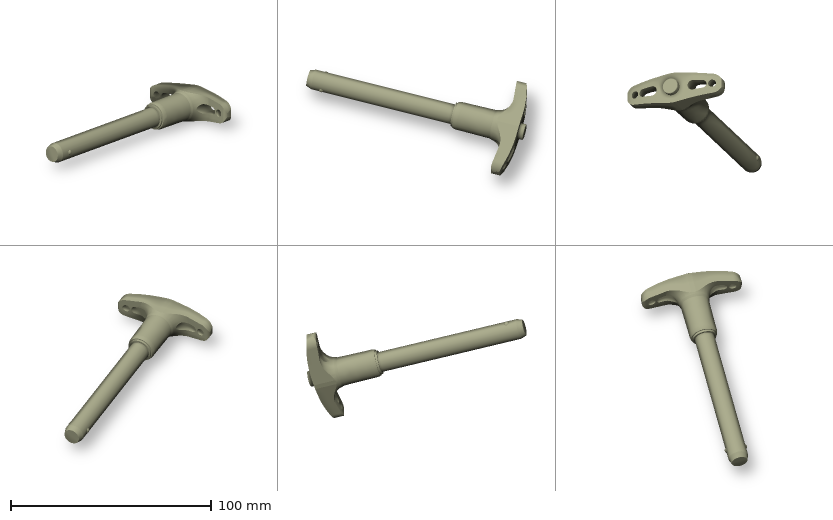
import cadquery as cq
import math

overall_length = 112.1

pin_radius = 5.0
tip_radius = 4.0
tip_length = 2.8
ball_radius = 1.5
ball_offset = 4.3
ball_y = 8.0

button_radius = 4.0
button_height = 2.7
button_edge = 0.2

handle_top_y = overall_length - button_height
flare_start_y = handle_top_y - 12.3
grip_top_y = handle_top_y - 13.6
grip_bottom_y = handle_top_y - 30.8
sleeve_end_y = handle_top_y - 33.2
collar_end_y = handle_top_y - 34.2
neck_radius = 7.7
grip_top_radius = 7.3
grip_bottom_radius = 7.1
sleeve_end_radius = 6.6
sleeve_bulge = 0.17
collar_radius = 6.0

span = 51.6
half_span = span / 2
half_depth = 8.0
crest_half_width = 1.2
end_radius = 5.2
top_flat_half = 5.6
top_arc_radius = 57.2
shoulder_x = 25.3
shoulder_drop = 3.4
lower_end_x = 25.9
arm_bottom_drop = 8.3
arm_slope = 0.12
end_fillet = 1.6
flare_radius = 14.6
flare_rim_x = 13.0
core_overlap = 0.6
flare_arc_radius = 6.6

hole_radius = 1.9
hole_x = 20.7
slot_inner_width = 5.0
slot_outer_width = 4.1
slot_inner_radius = slot_inner_width / 2
slot_outer_radius = slot_outer_width / 2
slot_inner_x = 10.9
slot_outer_x = 15.9


def arm_bottom_y(x):
    """Height of the sloping underside at distance x from the pin axis."""
    return handle_top_y - arm_bottom_drop + arm_slope * (lower_end_x - x)


def extrude_along_y(sketch):
    """Extrude an XZ outline from Y = 0 through the full length."""
    return sketch.extrude(-overall_length)


def handle_outline():
    """Tapered plan of the handle, with flanks tangent to its round ends."""
    end_x = half_span - end_radius
    run = end_x - crest_half_width
    distance = math.hypot(run, half_depth)
    angle = math.atan2(half_depth, -run) - math.acos(end_radius / distance)
    tangent_x = end_x + end_radius * math.cos(angle)
    tangent_z = end_radius * math.sin(angle)
    return extrude_along_y(
        cq.Workplane("XZ")
        .moveTo(-crest_half_width, half_depth)
        .lineTo(crest_half_width, half_depth)
        .lineTo(tangent_x, tangent_z)
        .threePointArc((half_span, 0), (tangent_x, -tangent_z))
        .lineTo(crest_half_width, -half_depth)
        .lineTo(-crest_half_width, -half_depth)
        .lineTo(-tangent_x, -tangent_z)
        .threePointArc((-half_span, 0), (-tangent_x, tangent_z))
        .close()
    )


def arms():
    """Crowned crossbar with a sloping underside and rounded lower ends."""
    shoulder_y = handle_top_y - shoulder_drop
    bar = (
        cq.Workplane("XY")
        .moveTo(-top_flat_half, handle_top_y)
        .lineTo(top_flat_half, handle_top_y)
        .radiusArc((shoulder_x, shoulder_y), top_arc_radius)
        .lineTo(lower_end_x, arm_bottom_y(lower_end_x))
        .lineTo(0, arm_bottom_y(0))
        .lineTo(-lower_end_x, arm_bottom_y(lower_end_x))
        .lineTo(-shoulder_x, shoulder_y)
        .radiusArc((-top_flat_half, handle_top_y), top_arc_radius)
        .close()
        .extrude(half_depth, both=True)
    )
    for end_x in (-lower_end_x, lower_end_x):
        corner = cq.selectors.NearestToPointSelector((end_x, arm_bottom_y(lower_end_x), 0))
        bar = bar.edges(corner).fillet(end_fillet)
    return bar


def flare():
    """Concave round flare that blends the sleeve into the arms."""
    rim_y = arm_bottom_y(flare_rim_x)
    core_top_y = arm_bottom_y(0) + core_overlap
    return (
        cq.Workplane("XY")
        .moveTo(0, flare_start_y)
        .lineTo(neck_radius, flare_start_y)
        .radiusArc((flare_radius, rim_y), flare_arc_radius)
        .lineTo(flare_radius, core_top_y)
        .lineTo(0, core_top_y)
        .close()
        .revolve(360, (0, 0), (0, 1))
    )


def arm_openings(side):
    """Lanyard hole and tapered slot through one arm; side is -1 or 1."""
    hole = extrude_along_y(cq.Workplane("XZ").center(side * hole_x, 0).circle(hole_radius))
    sine = (slot_inner_radius - slot_outer_radius) / (slot_outer_x - slot_inner_x)
    cosine = math.sqrt(1 - sine**2)
    inner_x = side * (slot_inner_x + slot_inner_radius * sine)
    outer_x = side * (slot_outer_x + slot_outer_radius * sine)
    inner_z = slot_inner_radius * cosine
    outer_z = slot_outer_radius * cosine
    slot = extrude_along_y(
        cq.Workplane("XZ")
        .moveTo(inner_x, inner_z)
        .lineTo(outer_x, outer_z)
        .threePointArc((side * (slot_outer_x + slot_outer_radius), 0), (outer_x, -outer_z))
        .lineTo(inner_x, -inner_z)
        .threePointArc((side * (slot_inner_x - slot_inner_radius), 0), (inner_x, inner_z))
        .close()
    )
    return hole.union(slot)


def turned_body():
    """Pin, collar, grip sleeve and push button, revolved about Y."""
    sleeve_arc_mid = (
        (grip_bottom_radius + sleeve_end_radius) / 2 + sleeve_bulge,
        (grip_bottom_y + sleeve_end_y) / 2,
    )
    return (
        cq.Workplane("XY")
        .moveTo(0, 0)
        .lineTo(tip_radius, 0)
        .lineTo(pin_radius, tip_length)
        .lineTo(pin_radius, collar_end_y)
        .lineTo(collar_radius, collar_end_y)
        .lineTo(collar_radius, sleeve_end_y)
        .lineTo(sleeve_end_radius, sleeve_end_y)
        .threePointArc(sleeve_arc_mid, (grip_bottom_radius, grip_bottom_y))
        .lineTo(grip_top_radius, grip_top_y)
        .lineTo(neck_radius, flare_start_y)
        .lineTo(button_radius, flare_start_y)
        .lineTo(button_radius, overall_length - button_edge)
        .lineTo(button_radius - button_edge, overall_length)
        .lineTo(0, overall_length)
        .close()
        .revolve(360, (0, 0), (0, 1))
    )


handle = arms().union(flare()).intersect(handle_outline())
for side in (-1, 1):
    handle = handle.cut(arm_openings(side))

result = turned_body().union(handle)
for side in (-1, 1):
    ball = cq.Workplane("XY").sphere(ball_radius).translate((side * ball_offset, ball_y, 0))
    result = result.union(ball)